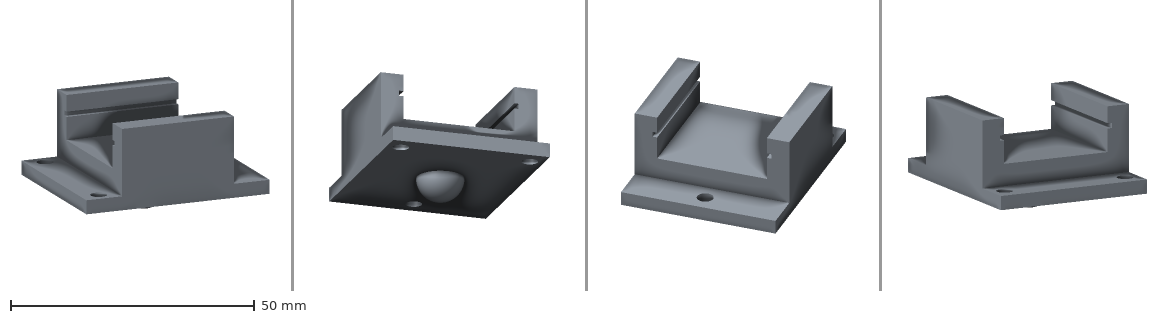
import cadquery as cq

width = 34.0
length = 41.0
plate_thickness = 3.0

flange_length = 8.0
holder_length = length - 2 * flange_length
holder_top = 17.35
floor_height = 7.7
channel_width = 24.1

groove_depth = 1.0
groove_height = 1.1
groove_drop = 3.55

hole_diameter = 3.5
hole_end_margin = 4.0
hole_side_margin = 3.0

foot_radius = 5.0
foot_offset_y = -0.5


def block(size_x, size_y, bottom, top):
    """Box centred in X and Y between two heights."""
    return cq.Workplane("XY").workplane(offset=bottom).rect(size_x, size_y).extrude(top - bottom)


def make_holder():
    holder = block(width, holder_length, plate_thickness, holder_top)
    channel = block(channel_width, holder_length, floor_height, holder_top)
    groove_top = holder_top - groove_drop
    grooves = block(
        channel_width + 2 * groove_depth, holder_length, groove_top - groove_height, groove_top
    )
    return holder.cut(channel).cut(grooves)


def make_plate():
    side_x = width / 2 - hole_side_margin
    end_y = length / 2 - hole_end_margin
    hole_centers = [(0, end_y), (-side_x, -end_y), (side_x, -end_y)]
    holes = cq.Workplane("XY").pushPoints(hole_centers).circle(hole_diameter / 2).extrude(plate_thickness)
    return block(width, length, 0, plate_thickness).cut(holes)


def make_foot():
    """Half ball whose flat face lies on the plate underside."""
    ball = cq.Workplane("XY").sphere(foot_radius)
    lower_half = block(2 * foot_radius, 2 * foot_radius, -foot_radius, 0)
    return ball.intersect(lower_half).translate((0, foot_offset_y, 0))


result = make_plate().union(make_holder()).union(make_foot())